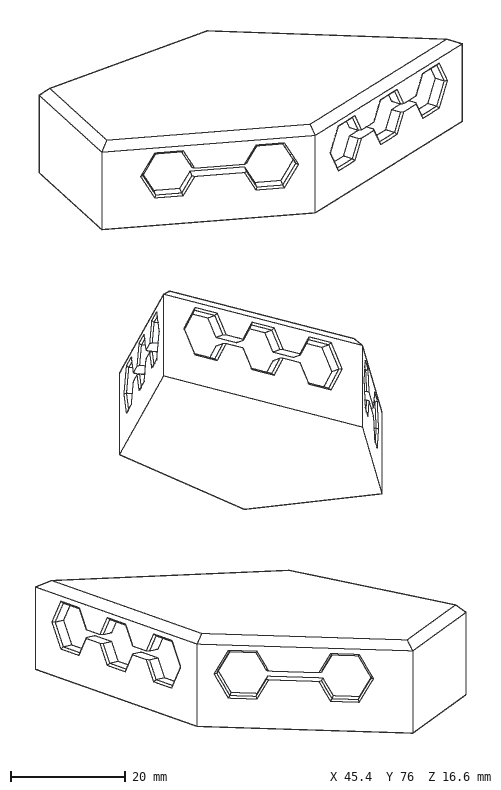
import cadquery as cq
import math

body_length = 76.0
body_width = 45.4
body_height = 16.6
top_chamfer = 1.5
tip_half_angle = 30.0
tail_side_angle = 15.0

hex_flats = 8.0
hex_chamfer = 0.4
hex_sides = 6
flats_per_corners = math.cos(math.pi / hex_sides)
pocket_depth = 2.3
pocket_height = 9.7
channel_width = 1.6
tip_hex_count = 3
tip_hex_pitch = 13.0
tail_hex_count = 2
tail_hex_pitch = 18.0
tail_shift = 2.0

half_width = body_width / 2
tip_y = body_length / 2
tail_y = -tip_y
shoulder_y = tip_y - half_width / math.tan(math.radians(tip_half_angle))
tail_half_width = half_width - (shoulder_y - tail_y) * math.tan(math.radians(tail_side_angle))

tip = (0, tip_y)
left_shoulder = (-half_width, shoulder_y)
left_tail = (-tail_half_width, tail_y)
right_tail = (tail_half_width, tail_y)
right_shoulder = (half_width, shoulder_y)


def make_body():
    outline = [tip, left_shoulder, left_tail, right_tail, right_shoulder]
    block = cq.Workplane("XY").polyline(outline).close().extrude(body_height)
    return block.faces(">Z").edges().chamfer(top_chamfer)


def side_plane(start, end, shift):
    """Plane on the left side from start to end, X along the side, moved by shift from mid-side."""
    run = end[0] - start[0]
    rise = end[1] - start[1]
    side_length = math.hypot(run, rise)
    along = (run / side_length, rise / side_length)
    outward = (-along[1], along[0], 0)
    origin = (
        (start[0] + end[0]) / 2 + shift * along[0],
        (start[1] + end[1]) / 2 + shift * along[1],
        pocket_height,
    )
    return cq.Plane(origin=origin, xDir=(along[0], along[1], 0), normal=outward)


def hex_row(plane, count, pitch):
    """Cutter for a row of edge-chamfered hexagons joined by a plain channel."""
    well_corners = hex_flats / flats_per_corners
    mouth_corners = (hex_flats + 2 * hex_chamfer) / flats_per_corners
    row_length = (count - 1) * pitch
    cutter = cq.Workplane(plane).rect(row_length, channel_width).extrude(-pocket_depth)
    for index in range(count):
        centre = index * pitch - row_length / 2
        base = cq.Workplane(plane).center(centre, 0)
        well = base.polygon(hex_sides, well_corners).extrude(-pocket_depth)
        flare = (
            base.polygon(hex_sides, mouth_corners)
            .workplane(offset=-hex_chamfer)
            .polygon(hex_sides, well_corners)
            .loft(ruled=True)
        )
        cutter = cutter.union(well).union(flare)
    return cutter


tip_plane = side_plane(left_shoulder, tip, 0)
tail_plane = side_plane(left_tail, left_shoulder, tail_shift)

result = make_body()
for row in (
    hex_row(tip_plane, tip_hex_count, tip_hex_pitch),
    hex_row(tail_plane, tail_hex_count, tail_hex_pitch),
):
    result = result.cut(row).cut(row.mirror("YZ"))